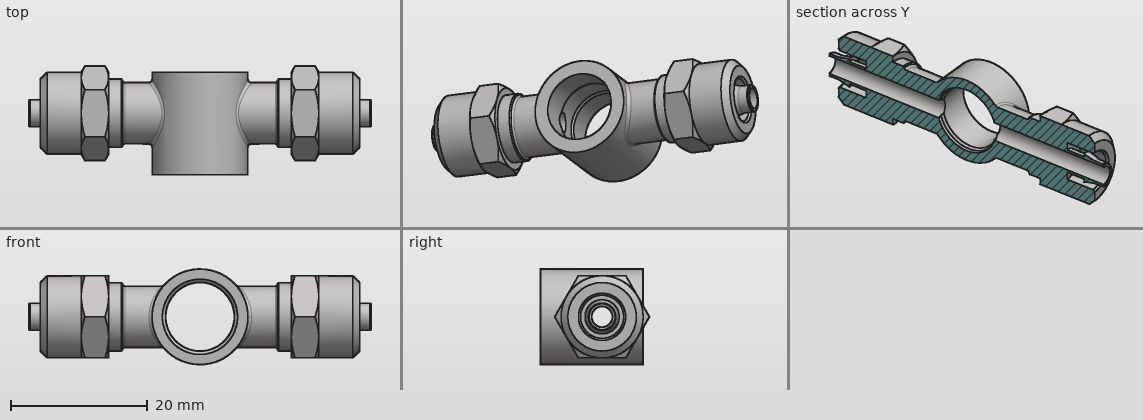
import cadquery as cq
import math

overall_length = 50.0
half_length = overall_length / 2

ring_diameter = 14.0
ring_front_y = -9.0
ring_back_y = 6.0
ring_bore_diameter = 10.0
ring_bore_chamfer = 0.5
bore_land_length = 5.0
groove_depth = 0.25
groove_end_angle = 30.0

neck_diameter = 9.0
neck_fillet = 0.5
collar_diameter = 10.0
collar_inner = 11.3
collar_chamfer = 0.2

nut_diameter = 12.0
nut_inset = 1.65
nut_round_length = 6.0
nut_chamfer = 1.0
hex_across_flats = 12.0
hex_length = 4.0
hex_chamfer_angle = 30.0
nut_bore_diameter = 6.3
nut_bore_depth = 5.0
nut_bore_chamfer = 0.3

stem_diameter = 4.0
stem_cylinder_length = 1.65
stem_tip_chamfer_depth = 0.1
stem_tip_chamfer_length = 0.2
barb_diameter = 5.0
barb_length = 2.0
arm_bore_diameter = 3.0

nut_face = half_length - nut_inset
hex_outer = nut_face - nut_round_length
hex_inner = hex_outer - hex_length
nut_bore_floor = nut_face - nut_bore_depth
hex_sides = 6
hex_corner_diameter = hex_across_flats / math.cos(math.pi / hex_sides)


def rod(diameter, start, end):
    """Cylinder on the arm axis between two stations."""
    return cq.Workplane("YZ").workplane(offset=start).circle(diameter / 2).extrude(end - start)


def cross_rod(diameter, start_y, end_y):
    """Cylinder on the ring axis between two Y positions."""
    plane = cq.Workplane("XZ", origin=(0, start_y, 0))
    return plane.circle(diameter / 2).extrude(start_y - end_y)


def make_ring_with_necks():
    ring = cross_rod(ring_diameter, ring_front_y, ring_back_y)
    necks = rod(neck_diameter, -hex_inner, hex_inner)
    joined = ring.union(necks)
    reach_x = ring_diameter / 2 + neck_fillet
    reach_yz = neck_diameter / 2 + neck_fillet
    near_ring = cq.selectors.BoxSelector(
        (-reach_x, -reach_yz, -reach_yz), (reach_x, reach_yz, reach_yz), boundingbox=True
    )
    return joined.edges(near_ring).fillet(neck_fillet)


def make_groove():
    """Shallow relief in the middle of the ring bore, with a cone at each end."""
    front_y = ring_front_y + bore_land_length
    back_y = ring_back_y - bore_land_length
    bore_radius = ring_bore_diameter / 2
    groove_radius = bore_radius + groove_depth
    cone_length = groove_depth / math.tan(math.radians(groove_end_angle))
    return (
        cq.Workplane("XY")
        .moveTo(0, front_y)
        .lineTo(bore_radius, front_y)
        .lineTo(groove_radius, front_y + cone_length)
        .lineTo(groove_radius, back_y - cone_length)
        .lineTo(bore_radius, back_y)
        .lineTo(0, back_y)
        .close()
        .revolve(360, (0, 0, 0), (0, 1, 0))
    )


def cut_ring_bore(body):
    body = body.cut(cross_rod(ring_bore_diameter, ring_front_y, ring_back_y))
    rims = body.faces("<Y or >Y").edges(cq.selectors.RadiusNthSelector(0))
    return rims.chamfer(ring_bore_chamfer).cut(make_groove())


def make_hexagon():
    """Hexagon with corners on the Y axis and both ends turned to a cone."""
    hexagon = (
        cq.Workplane("YZ").workplane(offset=hex_inner)
        .polygon(hex_sides, hex_corner_diameter).extrude(hex_length)
    )
    corner_radius = hex_corner_diameter / 2
    flat_radius = hex_across_flats / 2
    cone_length = (corner_radius - flat_radius) * math.tan(math.radians(hex_chamfer_angle))
    envelope = rod(hex_corner_diameter, hex_inner, hex_outer)
    envelope = envelope.faces("<X or >X").chamfer(cone_length, corner_radius - flat_radius)
    return hexagon.intersect(envelope)


def make_nut():
    nut = rod(nut_diameter, hex_outer, nut_face).faces(">X").chamfer(nut_chamfer)
    nut = nut.union(make_hexagon())
    bore = rod(nut_bore_diameter, nut_bore_floor, nut_face)
    rim = nut.cut(bore).faces(">X").edges(cq.selectors.RadiusNthSelector(0))
    return rim.chamfer(nut_bore_chamfer)


def make_stem():
    stem_radius = stem_diameter / 2
    barb_outer = half_length - stem_cylinder_length
    barb_inner = barb_outer - barb_length
    return (
        cq.Workplane("XY")
        .moveTo(nut_bore_floor, 0)
        .lineTo(nut_bore_floor, stem_radius)
        .lineTo(barb_inner, stem_radius)
        .lineTo(barb_inner, barb_diameter / 2)
        .lineTo(barb_outer, stem_radius)
        .lineTo(half_length - stem_tip_chamfer_length, stem_radius)
        .lineTo(half_length, stem_radius - stem_tip_chamfer_depth)
        .lineTo(half_length, 0)
        .close()
        .revolve(360, (0, 0, 0), (1, 0, 0))
    )


def make_collar():
    """Collar with a chamfered inner edge and a fillet blending it into the neck."""
    neck_radius = neck_diameter / 2
    collar_radius = collar_diameter / 2
    collar_fillet = collar_radius - collar_chamfer - neck_radius
    return (
        cq.Workplane("XY")
        .moveTo(hex_inner, 0)
        .lineTo(hex_inner, collar_radius)
        .lineTo(collar_inner + collar_chamfer, collar_radius)
        .lineTo(collar_inner, collar_radius - collar_chamfer)
        .radiusArc((collar_inner - collar_fillet, neck_radius), collar_fillet)
        .lineTo(collar_inner - collar_fillet, 0)
        .close()
        .revolve(360, (0, 0, 0), (1, 0, 0))
    )


def make_arm_end():
    collar = make_collar()
    return collar.union(make_nut()).union(make_stem())


arm_end = make_arm_end()
body = make_ring_with_necks()
body = body.union(arm_end).union(arm_end.mirror("YZ"))
body = body.cut(rod(arm_bore_diameter, -half_length, half_length))
result = cut_ring_bore(body)